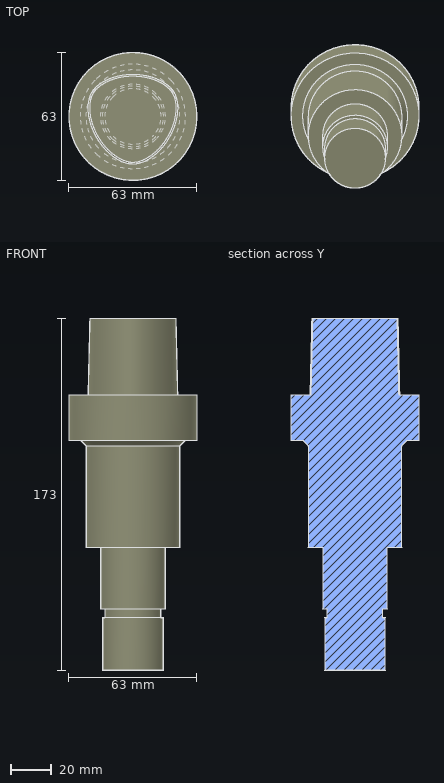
import cadquery as cq
import math

TOTAL_LENGTH = 173.0
GROOVE_BOTTOM = 26.0
GROOVE_TOP = 30.1
BODY_BOTTOM = 60.4
FLANGE_BOTTOM = 113.0
FLANGE_TOP = 135.5

TIP_DIAMETER = 30.0
GROOVE_DIAMETER = 27.5
NECK_DIAMETER = 31.8
BODY_DIAMETER = 46.0
FLANGE_DIAMETER = 63.0

CONE_HEIGHT = 2.8

SHANK_BASE_WIDTH = 44.1
SHANK_TOP_WIDTH = 42.4
LOBE_OFFSET = 1.4
OUTLINE_POINTS = 72


def cylinder(diameter, bottom, top):
    """Disc on the Z axis between two heights."""
    return cq.Workplane("XY").workplane(offset=bottom).circle(diameter / 2).extrude(top - bottom)


def lobed_outline(width, height):
    """Horizontal wire of constant width with three lobes, one pointing to -Y."""
    points = []
    for index in range(OUTLINE_POINTS):
        angle = 2 * math.pi * index / OUTLINE_POINTS
        along_lobe = (
            width / 2 * math.cos(angle)
            + 2 * LOBE_OFFSET * math.cos(2 * angle)
            - LOBE_OFFSET * math.cos(4 * angle)
        )
        across_lobe = (
            width / 2 * math.sin(angle)
            - 2 * LOBE_OFFSET * math.sin(2 * angle)
            - LOBE_OFFSET * math.sin(4 * angle)
        )
        points.append(cq.Vector(across_lobe, -along_lobe, height))
    return cq.Wire.assembleEdges([cq.Edge.makeSpline(points, periodic=True)])


def tapered_shank():
    """Lofted three-lobed shank standing on the flange."""
    base = lobed_outline(SHANK_BASE_WIDTH, FLANGE_TOP)
    top = lobed_outline(SHANK_TOP_WIDTH, TOTAL_LENGTH)
    return cq.Workplane(cq.Solid.makeLoft([base, top], True))


def flange_cone():
    """Cone that widens from the body up to the flange."""
    body_radius = BODY_DIAMETER / 2
    cone = cq.Solid.makeCone(
        body_radius,
        body_radius + CONE_HEIGHT,
        CONE_HEIGHT,
        pnt=cq.Vector(0, 0, FLANGE_BOTTOM - CONE_HEIGHT),
    )
    return cq.Workplane(cone)


result = (
    cylinder(TIP_DIAMETER, 0, GROOVE_BOTTOM)
    .union(cylinder(GROOVE_DIAMETER, GROOVE_BOTTOM, GROOVE_TOP))
    .union(cylinder(NECK_DIAMETER, GROOVE_TOP, BODY_BOTTOM))
    .union(cylinder(BODY_DIAMETER, BODY_BOTTOM, FLANGE_BOTTOM))
    .union(flange_cone())
    .union(cylinder(FLANGE_DIAMETER, FLANGE_BOTTOM, FLANGE_TOP))
    .union(tapered_shank())
)